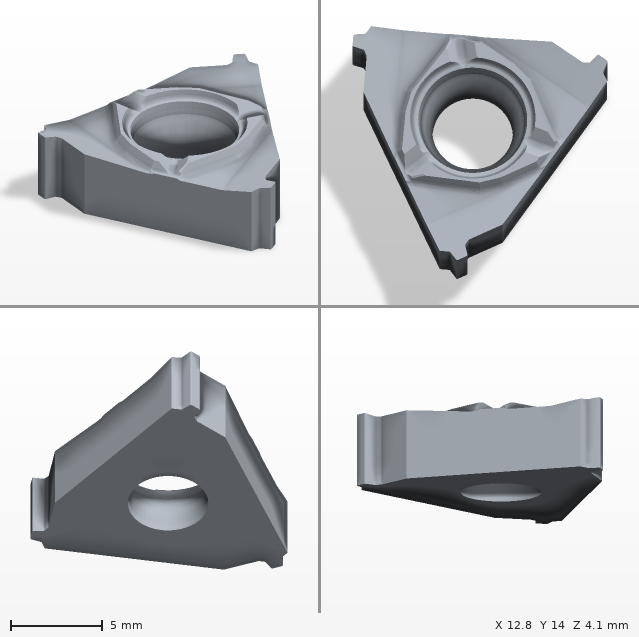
import cadquery as cq
import math

CORNERS = 3
CORNER_STEP = 360 / CORNERS

inscribed_radius = 9.525 / 2
total_height = 4.1
floor_height = 3.51
plate_radius = 12.0

shoulder_y = -6.09
side_corner_y = -6.0
tip_y = -6.916
tip_x = -3.83
tip_half_width = 0.33
neck_half_width = 0.46
neck_angle = 30
tip_nose_radius = 0.08
neck_fillet = 0.12
shoulder_fillet = 0.1

crease_y = -4.27
tip_height = 3.97

boss_walls = [(-122.3, 3.57), (-100.5, 3.63), (-90, 3.69)]
boss_wall_draft = 30
boss_root_fillet = 0.35

step_wall_distance = 4.25
step_height = 3.6
step_root_fillet = 0.2

groove_direction = 194
groove_half_width = 0.76
groove_depth = 0.48
groove_floor_half_width = 0.13
groove_root_fillet = 0.3
groove_corner_chamfer = 0.08
groove_corner = (-4.1, -1.65, 3.9)

bore_radius = 2.2
bore_seat_bottom = 1.2
seat_rim = (2.82, 2.9)
seat_lead_in_rim = (2.9, 3.2)
ledge_inner_rim = (2.98, 3.62)
ledge_outer_rim = (3.1, 3.65)
recess_root = (3.25, 3.7)
recess_wall_foot = (3.35, 3.82)
recess_top_radius = 3.43


def rotated(point, angle):
    """Turn an XY point about the insert axis by an angle in degrees."""
    x, y = point
    c = math.cos(math.radians(angle))
    s = math.sin(math.radians(angle))
    return (x * c - y * s, x * s + y * c)


def around_axis(shape):
    """Three copies of a shape, one per cutting corner, as one body."""
    copies = shape
    for index in range(1, CORNERS):
        copies = copies.union(shape.rotate((0, 0, 0), (0, 0, 1), index * CORNER_STEP))
    return copies


def corner_points():
    """Outline of the -Y cutting corner, from the -X side to the next side."""
    slope = math.tan(math.radians(neck_angle))
    neck_left_x = tip_x - neck_half_width
    neck_left_y = side_corner_y - (neck_left_x + inscribed_radius) * slope
    neck_right_x = tip_x + neck_half_width
    shoulder_x = neck_right_x + (shoulder_y - neck_left_y) / slope
    next_side_x = 2 * inscribed_radius + shoulder_y * math.sqrt(3)
    return [
        (-inscribed_radius, side_corner_y),
        (neck_left_x, neck_left_y),
        (tip_x - tip_half_width, tip_y),
        (tip_x + tip_half_width, tip_y),
        (neck_right_x, neck_left_y),
        (shoulder_x, shoulder_y),
        (next_side_x, shoulder_y),
    ]


def outline_prism():
    """Straight-sided blank with all corner rounds."""
    corner = corner_points()
    points = []
    for index in range(CORNERS):
        points += [rotated(p, index * CORNER_STEP) for p in corner]
    prism = cq.Workplane("XY").polyline(points).close().extrude(total_height)

    _, neck_left, nose_left, nose_right, neck_right, shoulder, _ = corner
    rounds = [
        (neck_fillet, (neck_left, neck_right)),
        (tip_nose_radius, (nose_left, nose_right)),
        (shoulder_fillet, (shoulder,)),
    ]
    for radius, corners in rounds:
        for x, y in corners:
            for index in range(CORNERS):
                px, py = rotated((x, y), index * CORNER_STEP)
                edge = cq.selectors.NearestToPointSelector((px, py, total_height / 2))
                prism = prism.edges("|Z").edges(edge).fillet(radius)
    return prism


def rake_wedges():
    """Ramps that rise from the floor to the cutting tips."""
    slope = (tip_height - floor_height) / (crease_y - tip_y)
    outer_y = -plate_radius
    outer_z = floor_height + (crease_y - outer_y) * slope
    wedge = (
        cq.Workplane("YZ")
        .polyline([(crease_y, floor_height), (outer_y, outer_z), (outer_y, floor_height)])
        .close()
        .extrude(plate_radius, both=True)
    )
    return around_axis(wedge)


def boss_section(spread):
    """Boss polygon with every wall moved outwards by the spread."""
    walls = []
    for index in range(CORNERS):
        walls += [(math.radians(a + index * CORNER_STEP), d + spread) for a, d in boss_walls]
    points = []
    for (a, d), (b, e) in zip(walls, walls[1:] + walls[:1]):
        det = math.sin(b - a)
        x = (d * math.sin(b) - e * math.sin(a)) / det
        y = (e * math.cos(a) - d * math.cos(b)) / det
        points.append((x, y))
    return points


def boss_on_plate():
    """Tapered boss blended into a round floor plate wider than the insert."""
    boss_height = total_height - floor_height
    spread = boss_height * math.tan(math.radians(boss_wall_draft))
    boss = (
        cq.Workplane("XY", origin=(0, 0, floor_height))
        .polyline(boss_section(spread))
        .close()
        .workplane(offset=boss_height)
        .polyline(boss_section(0))
        .close()
        .loft(ruled=True)
    )
    plate = cq.Workplane("XY").circle(plate_radius).extrude(floor_height)
    body = plate.union(boss)
    reach = plate_radius / 2
    margin = 0.01
    root_zone = cq.selectors.BoxSelector(
        (-reach, -reach, floor_height - margin), (reach, reach, floor_height + margin)
    )
    return body.edges("#Z").edges(root_zone).fillet(boss_root_fillet)


def step_cutters():
    """Removes the boss above the step next to every side of the insert."""
    rise = total_height - step_height
    wall_foot = step_wall_distance + rise * math.tan(math.radians(boss_wall_draft))
    cutter = (
        cq.Workplane("XZ")
        .polyline([
            (-step_wall_distance, total_height),
            (-wall_foot, step_height),
            (-plate_radius, step_height),
            (-plate_radius, total_height),
        ])
        .close()
        .extrude(plate_radius, both=True)
    )
    root = cq.selectors.NearestToPointSelector((-wall_foot, 0, step_height))
    return around_axis(cutter.edges("|Y").edges(root).fillet(step_root_fillet))


def groove_cutters():
    """V grooves with a rounded root that run outwards from the bore."""
    bottom = total_height - groove_depth
    slope = groove_depth / (groove_half_width - groove_floor_half_width)
    above = groove_depth
    top_half = groove_half_width + above / slope
    top = total_height + above
    cutter = (
        cq.Workplane("YZ")
        .polyline([
            (-top_half, top),
            (-groove_floor_half_width, bottom),
            (groove_floor_half_width, bottom),
            (top_half, top),
        ])
        .close()
        .extrude(plate_radius)
        .edges("|X and <Z")
        .fillet(groove_root_fillet)
    )
    return around_axis(cutter.rotate((0, 0, 0), (0, 0, 1), groove_direction))


def chamfer_groove_corners(body):
    """Bevels the sharp edge where each groove meets the boss wall beside it."""
    x, y, z = groove_corner
    for index in range(CORNERS):
        corner = cq.selectors.NearestToPointSelector(
            (*rotated((x, y), index * CORNER_STEP), z)
        )
        body = body.edges(corner).chamfer(groove_corner_chamfer)
    return body


def bore_cutter():
    """Stepped recess, curved screw seat and cylindrical bore, as one revolve."""
    rise = seat_rim[1] - bore_seat_bottom
    flare = seat_rim[0] - bore_radius
    seat_radius = (rise ** 2 + flare ** 2) / (2 * flare)
    half_angle = math.asin(rise / seat_radius) / 2
    seat_middle = (
        bore_radius + seat_radius * (1 - math.cos(half_angle)),
        bore_seat_bottom + seat_radius * math.sin(half_angle),
    )
    return (
        cq.Workplane("XZ")
        .moveTo(0, 0)
        .lineTo(bore_radius, 0)
        .lineTo(bore_radius, bore_seat_bottom)
        .threePointArc(seat_middle, seat_rim)
        .lineTo(*seat_lead_in_rim)
        .lineTo(*ledge_inner_rim)
        .lineTo(*ledge_outer_rim)
        .threePointArc(recess_root, recess_wall_foot)
        .lineTo(recess_top_radius, total_height)
        .lineTo(0, total_height)
        .close()
        .revolve(360, (0, 0, 0), (0, 1, 0))
    )


body = boss_on_plate().cut(step_cutters()).cut(groove_cutters())
body = chamfer_groove_corners(body).union(rake_wedges())
result = body.intersect(outline_prism()).cut(bore_cutter())